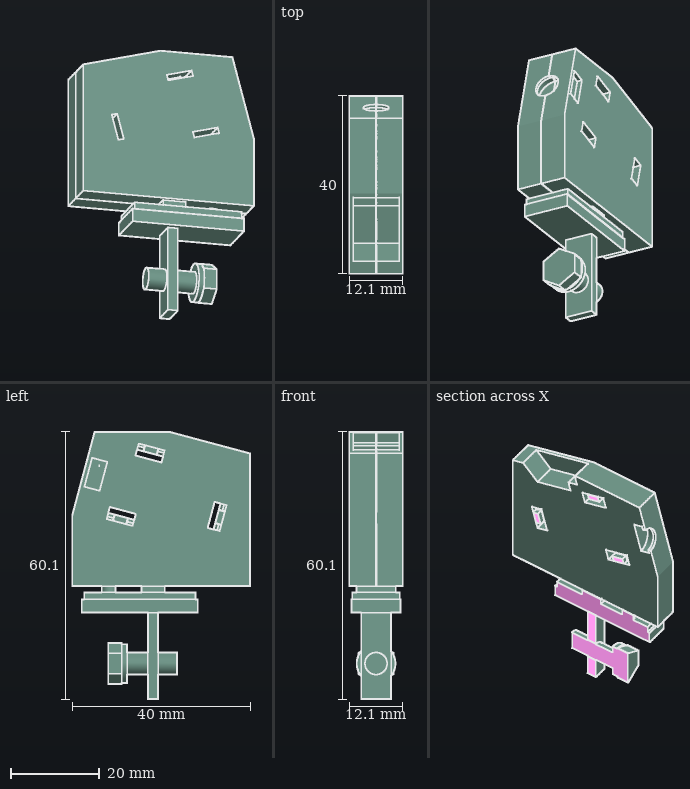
import cadquery as cq
import math

TILT = 15.0
TILT_RAD = math.radians(TILT)

HOUSING_WIDTH = 12.1
SEAM_GAP = 0.1
INNER_X = SEAM_GAP / 2
OUTER_X = HOUSING_WIDTH / 2
HALF_WIDTH = OUTER_X - INNER_X
HOUSING_LENGTH = 40.0
HOUSING_BACK_Y = 18.2
HOUSING_FRONT_Y = HOUSING_BACK_Y - HOUSING_LENGTH
HOUSING_BOTTOM_Z = 25.4
HOUSING_TOP_Z = 60.1
BACK_SLOPE_RUN = 5.05
BACK_SLOPE_DROP = BACK_SLOPE_RUN / math.tan(TILT_RAD)
FRONT_SLOPE_RUN = 18.1
FRONT_SLOPE_DROP = FRONT_SLOPE_RUN * math.tan(TILT_RAD)
BACK_RIDGE_Y = HOUSING_BACK_Y - BACK_SLOPE_RUN
FRONT_RIDGE_Y = HOUSING_FRONT_Y + FRONT_SLOPE_RUN

WINDOW_WIDTH = 10.35
WINDOW_START = 0.95
STEP_END = 3.4
FLOOR_END = 12.85
WINDOW_END = 15.75
STEP_DEPTH = 2.35
FLOOR_DEPTH = 4.6

LAMP_BELOW_RIDGE = 9.25
LAMP_HOLE_DIAMETER = 5.7
LAMP_BORE_DIAMETER = 7.45
LAMP_WALL = 0.7
LAMP_DEPTH = 3.0

LABEL_WIDTH = 3.55
LABEL_HEIGHT = 6.75
LABEL_CENTER = (12.85, 50.55)
LABEL_DEPTH = 1.2

LATCH_SLOTS = [
    (0.65, 55.35, TILT),
    (7.15, 41.05, TILT + 180),
    (-14.4, 41.05, TILT + 90),
]
SLOT_LENGTH = 6.0
SLOT_HEIGHT = 2.75
CLEAR_HEIGHT = 1.3
LEDGE_HEIGHT = SLOT_HEIGHT - CLEAR_HEIGHT
LEDGE_EDGE = CLEAR_HEIGHT - SLOT_HEIGHT / 2
LEDGE_CHAMFER = 0.85
TONGUE_LENGTH = 3.0
TONGUE_BACK = 1.2
TONGUE_REACH = 1.8
TONGUE_CLEARANCE = 0.1

FLANGE_BACK_Y = 16.05
FLANGE_LENGTH = 26.15
FLANGE_CENTER_Y = FLANGE_BACK_Y - FLANGE_LENGTH / 2
FLANGE_WIDTH = 11.05
FLANGE_BOTTOM_Z = 19.4
FLANGE_TOP_Z = 22.4
STEP_PLATE_LENGTH = 25.05
STEP_PLATE_WIDTH = 10.75
STEP_PLATE_TOP_Z = 24.0
NECK_LENGTH = 5.3
NECK_WIDTH = 8.9
PIN_DIAMETER = 3.1
PIN_Y = 10.0

BLADE_THICKNESS = 2.35
BLADE_WIDTH = 6.75

BOLT_Z = 8.0
SHANK_DIAMETER = 5.0
HEAD_CORNER_DIAMETER = 9.3
COLLAR_DIAMETER = 8.8
HEAD_BACK_Y = 10.1
HEAD_FRONT_Y = 7.1
COLLAR_FRONT_Y = 5.8
BOLT_TIP_Y = -5.4


def x_block(outline, x_start, x_end):
    """Extrude a closed YZ outline from x_start to x_end."""
    return outline.extrude(x_end - x_start).translate((x_start, 0, 0))


def centered_block(width, length, center_y, bottom_z, top_z):
    """Box centered on X = 0 and on center_y, between two heights."""
    block = cq.Workplane("XY").box(width, length, top_z - bottom_z, centered=(True, True, False))
    return block.translate((0, center_y, bottom_z))


def housing_half(x_start):
    outline = cq.Workplane("YZ").polyline([
        (HOUSING_BACK_Y, HOUSING_BOTTOM_Z),
        (HOUSING_BACK_Y, HOUSING_TOP_Z - BACK_SLOPE_DROP),
        (BACK_RIDGE_Y, HOUSING_TOP_Z),
        (FRONT_RIDGE_Y, HOUSING_TOP_Z),
        (HOUSING_FRONT_Y, HOUSING_TOP_Z - FRONT_SLOPE_DROP),
        (HOUSING_FRONT_Y, HOUSING_BOTTOM_Z),
    ]).close()
    half = x_block(outline, x_start, x_start + HALF_WIDTH)
    return half.cut(window_recess()).cut(lamp_hole())


def window_recess():
    """Stepped recess with a ramp at its lower end, shared by both halves."""
    slope_plane = cq.Plane(
        origin=(0, FRONT_RIDGE_Y, HOUSING_TOP_Z),
        xDir=(0, -math.cos(TILT_RAD), -math.sin(TILT_RAD)),
        normal=(1, 0, 0),
    )
    outline = cq.Workplane(slope_plane).polyline([
        (WINDOW_START, 0),
        (WINDOW_START, STEP_DEPTH),
        (STEP_END, STEP_DEPTH),
        (STEP_END, FLOOR_DEPTH),
        (FLOOR_END, FLOOR_DEPTH),
        (WINDOW_END, 0),
    ]).close()
    return x_block(outline, -WINDOW_WIDTH / 2, WINDOW_WIDTH / 2)


def lamp_hole():
    """Stepped hole square to the back slope, shared by both halves."""
    slope_plane = cq.Plane(
        origin=(
            0,
            BACK_RIDGE_Y + LAMP_BELOW_RIDGE * math.sin(TILT_RAD),
            HOUSING_TOP_Z - LAMP_BELOW_RIDGE * math.cos(TILT_RAD),
        ),
        xDir=(1, 0, 0),
        normal=(0, math.cos(TILT_RAD), math.sin(TILT_RAD)),
    )
    hole = cq.Workplane(slope_plane).circle(LAMP_HOLE_DIAMETER / 2).extrude(-LAMP_WALL)
    bore = (
        cq.Workplane(slope_plane).workplane(offset=-LAMP_WALL)
        .circle(LAMP_BORE_DIAMETER / 2)
        .extrude(LAMP_WALL - LAMP_DEPTH)
    )
    return hole.union(bore)


def label_recess():
    outline = (
        cq.Workplane("YZ").center(*LABEL_CENTER)
        .transformed(rotate=(0, 0, TILT))
        .rect(LABEL_WIDTH, LABEL_HEIGHT)
    )
    return x_block(outline, -OUTER_X, LABEL_DEPTH - OUTER_X)


def slot_plane(y, z, angle):
    """YZ workplane on a latch slot's center, with local x along the slot."""
    return cq.Workplane("YZ").center(y, z).transformed(rotate=(0, 0, angle))


def full_slot(slot):
    """Opening through the left half."""
    outline = slot_plane(*slot).rect(SLOT_LENGTH, SLOT_HEIGHT)
    return x_block(outline, -OUTER_X, -INNER_X)


def clear_slot(slot):
    """Narrower opening through the right half, with the ledge edge beveled on the seam side."""
    opening_y = (LEDGE_EDGE - SLOT_HEIGHT / 2) / 2
    opening = x_block(
        slot_plane(*slot).center(0, opening_y).rect(SLOT_LENGTH, CLEAR_HEIGHT), INNER_X, OUTER_X
    )
    bevel = (
        slot_plane(*slot)
        .transformed(offset=(-SLOT_LENGTH / 2, 0, INNER_X), rotate=(0, 90, 0))
        .polyline([(0, LEDGE_EDGE), (0, LEDGE_EDGE + LEDGE_CHAMFER), (-LEDGE_CHAMFER, LEDGE_EDGE)])
        .close()
        .extrude(SLOT_LENGTH)
    )
    return opening.union(bevel)


def ledge_block(slot, length, x_start, x_end):
    """Block of the ledge's height at the middle of a slot."""
    outline = slot_plane(*slot).center(0, LEDGE_EDGE + LEDGE_HEIGHT / 2).rect(length, LEDGE_HEIGHT)
    return x_block(outline, x_start, x_end)


def latch_tongue(slot):
    """Tongue of the left half, standing in its slot and reaching across the seam."""
    return ledge_block(slot, TONGUE_LENGTH, -INNER_X - TONGUE_BACK, TONGUE_REACH)


def latch_notch(slot):
    """Notch in the right half's ledge that takes the tongue, with clearance at its ends."""
    return ledge_block(slot, TONGUE_LENGTH + 2 * TONGUE_CLEARANCE, INNER_X, TONGUE_REACH)


def make_left_half():
    half = housing_half(-OUTER_X).cut(label_recess())
    for slot in LATCH_SLOTS:
        half = half.cut(full_slot(slot)).union(latch_tongue(slot))
    return half


def make_right_half():
    half = housing_half(INNER_X)
    for slot in LATCH_SLOTS:
        half = half.cut(clear_slot(slot)).cut(latch_notch(slot))
    return half


def make_base():
    """Stepped flange with the neck and the locating pin that carry the housing."""
    flange = centered_block(FLANGE_WIDTH, FLANGE_LENGTH, FLANGE_CENTER_Y, FLANGE_BOTTOM_Z, FLANGE_TOP_Z)
    step_plate = centered_block(
        STEP_PLATE_WIDTH, STEP_PLATE_LENGTH, FLANGE_CENTER_Y, FLANGE_TOP_Z, STEP_PLATE_TOP_Z
    )
    neck = centered_block(NECK_WIDTH, NECK_LENGTH, 0, STEP_PLATE_TOP_Z, HOUSING_BOTTOM_Z)
    pin = (
        cq.Workplane("XY", origin=(0, PIN_Y, STEP_PLATE_TOP_Z))
        .circle(PIN_DIAMETER / 2)
        .extrude(HOUSING_BOTTOM_Z - STEP_PLATE_TOP_Z)
    )
    return flange.union(step_plate).union(neck).union(pin)


def bolt_section(y_start):
    """Workplane square to the bolt axis at y_start, extruding toward -Y."""
    return cq.Workplane("XZ", origin=(0, y_start, BOLT_Z))


def bolt_shank():
    return bolt_section(COLLAR_FRONT_Y).circle(SHANK_DIAMETER / 2).extrude(COLLAR_FRONT_Y - BOLT_TIP_Y)


def make_blade():
    blade = centered_block(BLADE_WIDTH, BLADE_THICKNESS, 0, 0, FLANGE_BOTTOM_Z)
    return blade.cut(bolt_shank())


def make_bolt():
    head = (
        bolt_section(HEAD_BACK_Y)
        .transformed(rotate=(0, 0, 90))
        .polygon(6, HEAD_CORNER_DIAMETER)
        .extrude(HEAD_BACK_Y - HEAD_FRONT_Y)
    )
    collar = bolt_section(HEAD_FRONT_Y).circle(COLLAR_DIAMETER / 2).extrude(HEAD_FRONT_Y - COLLAR_FRONT_Y)
    return head.union(collar).union(bolt_shank())


left_half = make_left_half()
right_half = make_right_half()
base = make_base()
blade = make_blade()
bolt = make_bolt()

result = cq.Compound.makeCompound([
    left_half.val(),
    right_half.val(),
    base.val(),
    blade.val(),
    bolt.val(),
])